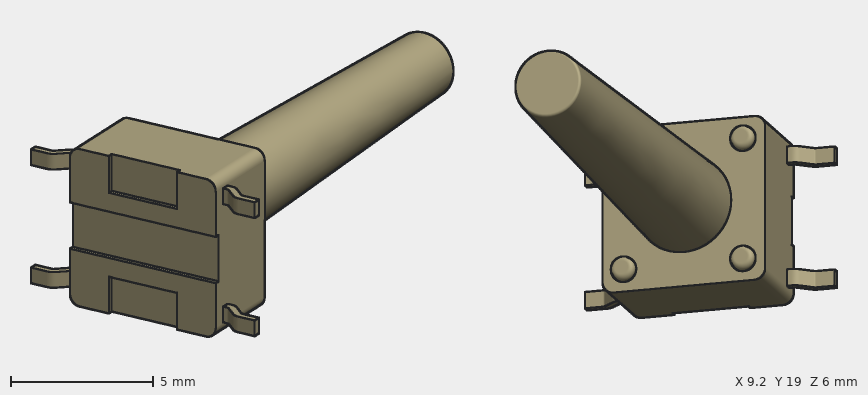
import cadquery as cq
import math

total_length = 19.0
leg_span = 9.2

body_size = 6.0
body_height = 3.3
corner_radius = 0.4

recess_depth = 0.2
channel_width = 1.76
notch_width = 2.8
notch_length = 1.4

stem_base_radius = 1.75
stem_tip_radius = 1.22
stem_tip_fillet = 0.1

rivet_radius = 0.45
rivet_height = 0.3
rivet_fillet = 0.2
rivet_offset = 2.2

leg_width = 0.6
leg_thickness = 0.3
leg_offset = 2.25
leg_rise = 0.5
foot_length = 0.68
bend_radius = 0.25
bend_angle = math.radians(42)
leg_embed = 0.4


def make_body():
    """Square housing with rounded upright edges, a cross channel and two edge notches."""
    body = cq.Workplane("XY").box(body_size, body_height, body_size, centered=(True, False, True))
    body = body.edges("|Y").fillet(corner_radius)
    channel = cq.Workplane("XY").box(body_size, 2 * recess_depth, channel_width)
    body = body.cut(channel)
    for side in (-1, 1):
        notch = cq.Workplane("XY").box(notch_width, 2 * recess_depth, 2 * notch_length)
        body = body.cut(notch.translate((0, 0, side * body_size / 2)))
    return body


def make_stem():
    """Cone frustum with a rounded tip, revolved about the Y axis from its -X profile."""
    stem = (
        cq.Workplane("XY")
        .moveTo(0, body_height)
        .lineTo(-stem_base_radius, body_height)
        .lineTo(-stem_tip_radius, total_length)
        .lineTo(0, total_length)
        .close()
        .revolve(360, (0, 0, 0), (0, 1, 0))
    )
    return stem.faces(">Y").edges().fillet(stem_tip_fillet)


def make_rivet(x, z):
    """Round rivet head with a domed rim, standing on the housing top."""
    rivet = cq.Workplane("XZ").circle(rivet_radius).extrude(-rivet_height)
    rivet = rivet.faces(">Y").edges().fillet(rivet_fillet)
    return rivet.translate((x, body_height, z))


def make_leg():
    """Leg strip on the +X side: flat foot, S-bend and root, centred on Z = 0."""
    arc_run = bend_radius * math.sin(bend_angle)
    arc_rise = bend_radius * (1 - math.cos(bend_angle))
    slope_rise = leg_rise - 2 * arc_rise
    slope_run = slope_rise / math.tan(bend_angle)

    foot_end = leg_span / 2
    foot_y = leg_thickness / 2
    bend_start = foot_end - foot_length
    slope_start = bend_start - arc_run
    slope_end = slope_start - slope_run
    bend_end = slope_end - arc_run

    path = (
        cq.Workplane("XY")
        .moveTo(foot_end, foot_y)
        .lineTo(bend_start, foot_y)
        .tangentArcPoint((slope_start, foot_y + arc_rise), relative=False)
        .lineTo(slope_end, foot_y + arc_rise + slope_rise)
        .tangentArcPoint((bend_end, foot_y + leg_rise), relative=False)
        .lineTo(body_size / 2 - leg_embed, foot_y + leg_rise)
    )
    section = cq.Workplane("YZ", origin=(foot_end, foot_y, 0)).rect(leg_thickness, leg_width)
    return section.sweep(path)


result = make_body().union(make_stem())

for x_side in (-1, 1):
    for z_side in (-1, 1):
        result = result.union(make_rivet(x_side * rivet_offset, z_side * rivet_offset))

right_leg = make_leg()
left_leg = right_leg.mirror("YZ")
for leg in (left_leg, right_leg):
    for z_side in (-1, 1):
        result = result.union(leg.translate((0, 0, z_side * leg_offset)))